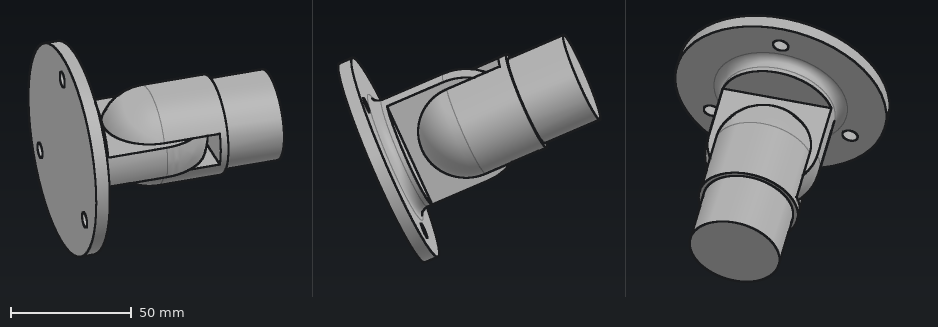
import cadquery as cq
import math


plate_diameter = 90.0
plate_thickness = 6.0
boss_radius = 24.2
boss_end_y = 12.5
boss_fillet = 4.25
tongue_thickness = 14.2

hole_count = 3
hole_diameter = 6.5
hole_circle_radius = 34.0
first_hole_angle = 90.0

pivot_y = 38.0

fork_radius = 21.2
shoulder_y = 65.5
spigot_radius = 19.2
overall_length = 90.5
slot_width = 14.8
slot_end_y = pivot_y + boss_radius


def revolve_about_y(profile):
    """Turn a closed XY half profile fully around the Y axis."""
    return profile.revolve(360, (0, 0, 0), (0, 1, 0))


def make_slab(thickness, start_y, end_y):
    """Slab centred on Z = 0, wider in X than the joint, between two Y positions."""
    width = 4 * boss_radius
    length = end_y - start_y
    return cq.Workplane("XY").box(width, length, thickness).translate((0, (start_y + end_y) / 2, 0))


def make_flange():
    """Round plate with a short boss, blended by a concave fillet."""
    plate_radius = plate_diameter / 2
    fillet_end_y = plate_thickness + boss_fillet
    arc_offset = boss_fillet * (1 - math.sqrt(0.5))
    profile = (
        cq.Workplane("XY")
        .lineTo(plate_radius, 0)
        .lineTo(plate_radius, plate_thickness)
        .lineTo(boss_radius + boss_fillet, plate_thickness)
        .threePointArc(
            (boss_radius + arc_offset, plate_thickness + arc_offset),
            (boss_radius, fillet_end_y),
        )
        .lineTo(boss_radius, boss_end_y)
        .lineTo(0, boss_end_y)
        .close()
    )
    return revolve_about_y(profile)


def make_tongue():
    """Flat slice of a dome-ended cylinder, standing on the boss."""
    diagonal = boss_radius * math.sqrt(0.5)
    profile = (
        cq.Workplane("XY")
        .moveTo(0, plate_thickness)
        .lineTo(boss_radius, plate_thickness)
        .lineTo(boss_radius, pivot_y)
        .threePointArc((diagonal, pivot_y + diagonal), (0, pivot_y + boss_radius))
        .close()
    )
    slab = make_slab(tongue_thickness, plate_thickness, pivot_y + 2 * boss_radius)
    return revolve_about_y(profile).intersect(slab)


def make_screw_holes():
    """Cylinders through the plate, evenly spaced around the axis."""
    return (
        cq.Workplane("XZ")
        .polarArray(hole_circle_radius, first_hole_angle, 360, hole_count)
        .circle(hole_diameter / 2)
        .extrude(-plate_thickness)
    )


def make_base():
    return make_flange().union(make_tongue()).cut(make_screw_holes())


def make_fork():
    """Dome-ended body with a spigot behind it, slotted to straddle the tongue."""
    diagonal = fork_radius * math.sqrt(0.5)
    profile = (
        cq.Workplane("XY")
        .moveTo(0, pivot_y - fork_radius)
        .threePointArc((diagonal, pivot_y - diagonal), (fork_radius, pivot_y))
        .lineTo(fork_radius, shoulder_y)
        .lineTo(spigot_radius, shoulder_y)
        .lineTo(spigot_radius, overall_length)
        .lineTo(0, overall_length)
        .close()
    )
    slot = make_slab(slot_width, 0, slot_end_y)
    return revolve_about_y(profile).cut(slot)


base = make_base()
fork = make_fork()

result = cq.Compound.makeCompound([base.solids().val(), fork.solids().val()])